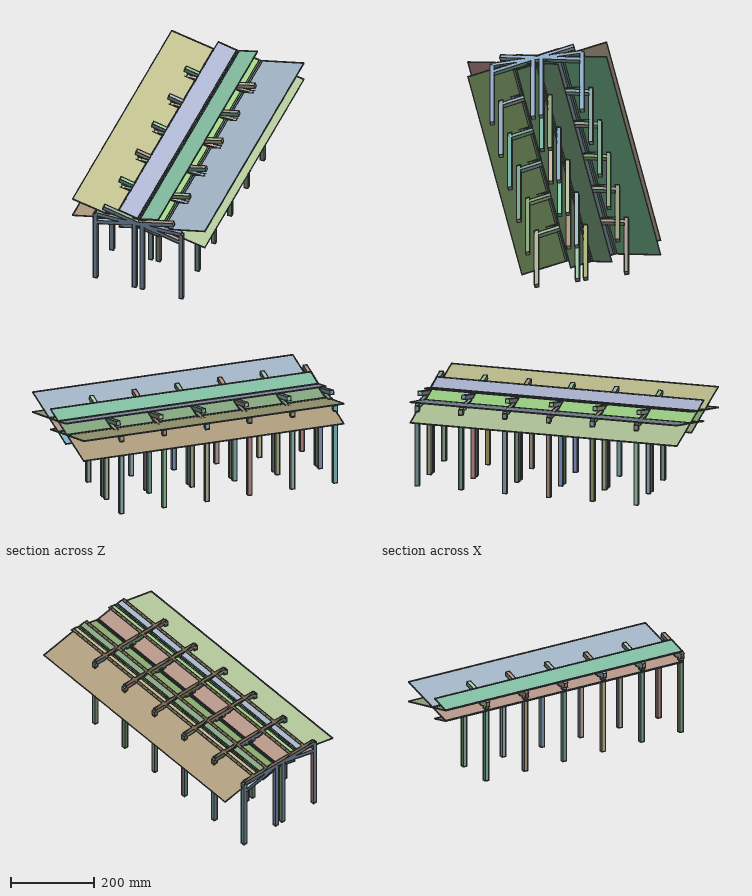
import cadquery as cq
import math

BAR = 10.0
FRAME_COUNT = 6
FRAME_PITCH = 110.0
POST_HEIGHT = 200.0
OUTER_POST_X = 110.0
INNER_POST_X = 10.0

RAFTER_END_RISE = 25.0
RAFTER_LOW_Z = POST_HEIGHT - RAFTER_END_RISE
RAFTER_HIGH_X = 90.0
RAFTER_HIGH_Z = POST_HEIGHT + RAFTER_END_RISE

PANEL_THICKNESS = 2.0
PANEL_LENGTH = 670.0
RIDGE_GAP = 1.0
PANEL_INNER_X = RIDGE_GAP / 2
WIDE_PANEL_OUTER_X = 169.985
WIDE_PANEL_INNER_RISE = -13.5
WIDE_PANEL_OUTER_RISE = 25.7
NARROW_PANEL_OUTER_X = 50.5
NARROW_PANEL_INNER_RISE = 13.9
NARROW_PANEL_OUTER_RISE = 26.3


def sloping_bar(start, end, thickness, y_start, y_length):
    """Rectangular bar whose XZ centreline runs from start to end, with square-cut ends."""
    run = end[0] - start[0]
    rise = end[1] - start[1]
    middle = ((start[0] + end[0]) / 2, y_start + y_length / 2, (start[1] + end[1]) / 2)
    bar = cq.Workplane("XY").box(math.hypot(run, rise), y_length, thickness)
    tilt = -math.degrees(math.atan2(rise, run))
    return bar.rotate((0, 0, 0), (0, 1, 0), tilt).translate(middle)


def make_frame(y_center):
    """Four posts, a level tie beam and two crossed rafters."""
    y_start = y_center - BAR / 2
    frame = sloping_bar((-OUTER_POST_X, POST_HEIGHT), (OUTER_POST_X, POST_HEIGHT), BAR, y_start, BAR)
    for side in (-1, 1):
        for post_x in (OUTER_POST_X, INNER_POST_X):
            post = cq.Workplane("XY").box(BAR, BAR, POST_HEIGHT)
            frame = frame.union(post.translate((side * post_x, y_center, POST_HEIGHT / 2)))
        low_end = (side * OUTER_POST_X, RAFTER_LOW_Z)
        high_end = (-side * RAFTER_HIGH_X, RAFTER_HIGH_Z)
        frame = frame.union(sloping_bar(low_end, high_end, BAR, y_start, BAR))
    return frame


def make_panel(side, direction, inner_rise, outer_x, outer_rise):
    """One panel; side is -1 or 1 along X, direction is -1 or 1 along Z."""
    inner_edge = (side * PANEL_INNER_X, POST_HEIGHT + direction * inner_rise)
    outer_edge = (side * outer_x, POST_HEIGHT + direction * outer_rise)
    return sloping_bar(inner_edge, outer_edge, PANEL_THICKNESS, 0, PANEL_LENGTH)


result = make_frame(0)
for index in range(1, FRAME_COUNT):
    result = result.union(make_frame(index * FRAME_PITCH))

for side in (-1, 1):
    for direction in (-1, 1):
        wide_panel = make_panel(
            side, direction, WIDE_PANEL_INNER_RISE, WIDE_PANEL_OUTER_X, WIDE_PANEL_OUTER_RISE
        )
        narrow_panel = make_panel(
            side, direction, NARROW_PANEL_INNER_RISE, NARROW_PANEL_OUTER_X, NARROW_PANEL_OUTER_RISE
        )
        result = result.union(wide_panel).union(narrow_panel)